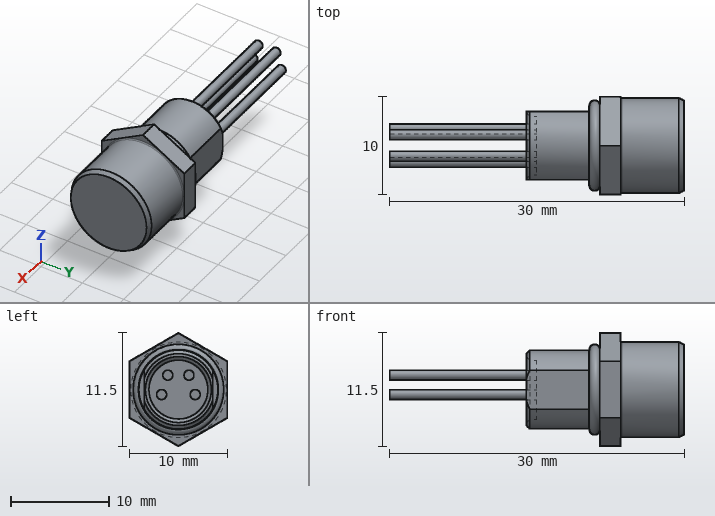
import cadquery as cq
import math

total_length = 30.0

barrel_length = 6.48
barrel_radius = 4.85
barrel_chamfer_length = 0.55
barrel_chamfer_depth = 0.27
barrel_root_fillet = 0.12

hex_thickness = 2.1
hex_across_flats = 10.0

seal_section_radius = 0.55

body_start = 13.92
body_radius = 4.02
body_chamfer = 0.35
body_root_fillet = 0.05
body_across_flats = 7.0
bore_mouth_radius = 3.35
bore_radius = 3.0
bore_cone_depth = 0.35
bore_depth = 1.0

wire_radius = 0.5
wire_pairs = [(1.08, 1.47), (1.7, -0.5)]

barrel_start = total_length - barrel_length
hex_start = barrel_start - hex_thickness
seal_centre_radius = body_radius + body_root_fillet
seal_centre_x = hex_start - seal_section_radius
flats_end = hex_start - 2 * seal_section_radius - body_root_fillet
bore_floor = body_start + bore_depth


def yz_plane(x):
    """Work plane normal to the part axis at the given X."""
    return cq.Workplane("YZ", origin=(x, 0, 0))


def revolve_about_axis(profile):
    """Revolve a closed XY profile a full turn about the X axis."""
    return profile.revolve(360, (0, 0, 0), (1, 0, 0))


def make_barrel():
    chamfer_start = total_length - barrel_chamfer_length
    profile = (
        cq.Workplane("XY")
        .moveTo(barrel_start, 0)
        .lineTo(barrel_start, barrel_radius + barrel_root_fillet)
        .radiusArc((barrel_start + barrel_root_fillet, barrel_radius), -barrel_root_fillet)
        .lineTo(chamfer_start, barrel_radius)
        .lineTo(total_length, barrel_radius - barrel_chamfer_depth)
        .lineTo(total_length, 0)
        .close()
    )
    return revolve_about_axis(profile)


def make_hex_flange():
    across_corners = hex_across_flats / math.cos(math.pi / 6)
    return (
        yz_plane(hex_start)
        .transformed(rotate=(0, 0, 90))
        .polygon(6, across_corners)
        .extrude(hex_thickness)
    )


def make_seal():
    section = cq.Workplane("XY").moveTo(seal_centre_x, seal_centre_radius).circle(seal_section_radius)
    return revolve_about_axis(section)


def make_body():
    length = flats_end - body_start
    body = yz_plane(body_start).circle(body_radius).extrude(length).faces("<X").chamfer(body_chamfer)
    flats = yz_plane(body_start).rect(body_across_flats, 2 * body_radius).extrude(length)
    return body.intersect(flats)


def make_seal_seat():
    """Full-round stretch between the flats and the flange, flared where it meets the seal."""
    profile = (
        cq.Workplane("XY")
        .moveTo(flats_end, 0)
        .lineTo(flats_end, body_radius)
        .radiusArc((flats_end + body_root_fillet, seal_centre_radius), -body_root_fillet)
        .lineTo(hex_start, seal_centre_radius)
        .lineTo(hex_start, 0)
        .close()
    )
    return revolve_about_axis(profile)


def make_bore():
    profile = (
        cq.Workplane("XY")
        .moveTo(body_start, 0)
        .lineTo(body_start, bore_mouth_radius)
        .lineTo(body_start + bore_cone_depth, bore_radius)
        .lineTo(bore_floor, bore_radius)
        .lineTo(bore_floor, 0)
        .close()
    )
    return revolve_about_axis(profile)


def make_wires():
    centres = [(side * y, z) for y, z in wire_pairs for side in (-1, 1)]
    return yz_plane(0).pushPoints(centres).circle(wire_radius).extrude(hex_start)


result = (
    make_body()
    .cut(make_bore())
    .union(make_seal_seat())
    .union(make_hex_flange())
    .union(make_barrel())
    .union(make_seal())
    .union(make_wires())
)